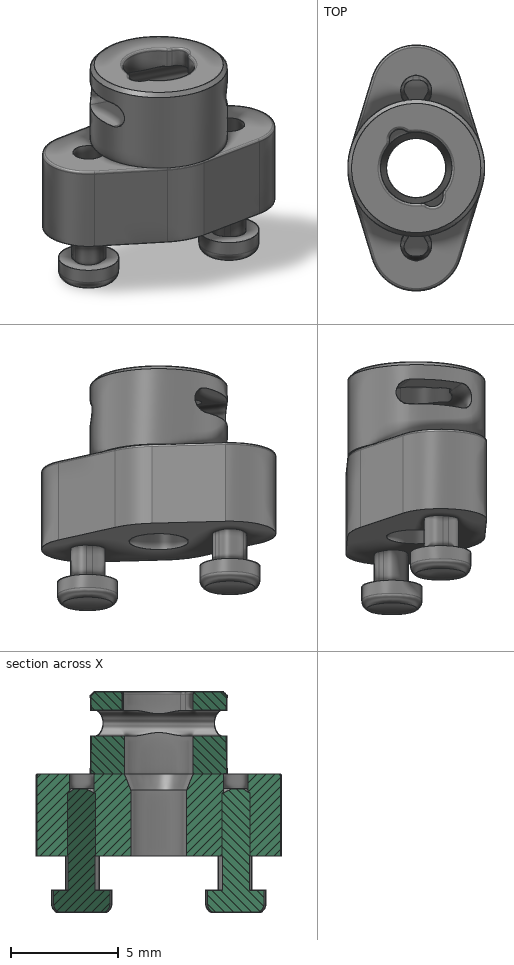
import cadquery as cq
import math

opposite_turns = (0, 180)

body_diameter = 6.35
body_radius = body_diameter / 2
end_radius = 2.13
base_length = 11.41
screw_offset = base_length / 2 - end_radius
base_height = 3.81
base_fillet = 0.11

barrel_height = base_height
barrel_top = base_height + barrel_height
barrel_chamfer = 0.18

socket_radius = 1.65
bore_radius = 1.37
taper_depth = 0.74

key_radius = 0.49
key_distance = 1.51
key_angle = 120
key_blend = 0.32
mouth_fillet = 0.11

slot_width = 3.7
slot_height = 1.18
slot_center_z = 6.16

head_diameter = 2.8
head_radius = head_diameter / 2
head_height = 1.03
head_top = -1.59
rim_depth = 0.4
rim_inset = 0.24
lobe_radius = 0.66
lobe_offset = 0.16
lobe_directions = (-90, 30, 150)
lobe_half_arc = 60
tip_chamfer = 0.24
tip_z = 3.13
pilot_radius = 0.72


def polar(radius, degrees):
    angle = math.radians(degrees)
    return (radius * math.cos(angle), radius * math.sin(angle))


def base_outline():
    """Closed outline of the flange: four arcs joined by tangent lines."""
    lean = math.degrees(math.asin((body_radius - end_radius) / screw_offset))
    body_x, body_y = polar(body_radius, lean)
    end_x, end_rise = polar(end_radius, lean)
    end_y = screw_offset + end_rise
    tip_y = base_length / 2
    return (
        cq.Workplane("XY")
        .moveTo(body_x, -body_y)
        .threePointArc((body_radius, 0), (body_x, body_y))
        .lineTo(end_x, end_y)
        .threePointArc((0, tip_y), (-end_x, end_y))
        .lineTo(-body_x, body_y)
        .threePointArc((-body_radius, 0), (-body_x, -body_y))
        .lineTo(-end_x, -end_y)
        .threePointArc((0, -tip_y), (end_x, -end_y))
        .close()
    )


def shank_outline(z):
    """Rounded triangle: three equal arcs joined by narrow flats, one flat facing +Y."""
    outline = cq.Workplane("XY", origin=(0, 0, z))
    for direction in lobe_directions:
        center_x, center_y = polar(lobe_offset, direction)
        arc = []
        for turn in (-lobe_half_arc, 0, lobe_half_arc):
            dx, dy = polar(lobe_radius, direction + turn)
            arc.append((center_x + dx, center_y + dy))
        start, middle, end = arc
        outline = outline.moveTo(*start) if direction == lobe_directions[0] else outline.lineTo(*start)
        outline = outline.threePointArc(middle, end)
    return outline.close()


def screw_head():
    """Revolved head with a rounded rim around its flat outer face."""
    head_bottom = head_top - head_height
    rim_top = head_bottom + rim_depth
    return (
        cq.Workplane("XZ")
        .moveTo(0, head_top)
        .lineTo(head_radius, head_top)
        .lineTo(head_radius, rim_top)
        .tangentArcPoint((head_radius - rim_inset, head_bottom), relative=False)
        .lineTo(0, head_bottom)
        .close()
        .revolve(360, (0, 0), (0, 1))
    )


def make_screw(turn):
    """Screw at the +Y end, then turned about the Z axis to its place."""
    shank = shank_outline(head_top).extrude(tip_z - head_top)
    shank = shank.faces(">Z").chamfer(tip_chamfer)
    screw = screw_head().union(shank).translate((0, screw_offset, 0))
    return screw.rotate((0, 0, 0), (0, 0, 1), turn)


def tapered_bore():
    """Hole of the base: narrow below, widening to the barrel bore at the top."""
    return (
        cq.Workplane("XZ")
        .moveTo(0, 0)
        .lineTo(bore_radius, 0)
        .lineTo(bore_radius, base_height - taper_depth)
        .lineTo(socket_radius, base_height)
        .lineTo(0, base_height)
        .close()
        .revolve(360, (0, 0), (0, 1))
    )


def make_base(screws):
    base = base_outline().extrude(base_height).faces(">Z").edges().fillet(base_fillet)
    base = base.cut(tapered_bore())
    pilots = cq.Workplane("XY").pushPoints([(0, screw_offset), (0, -screw_offset)])
    base = base.cut(pilots.circle(pilot_radius).extrude(base_height))
    for screw in screws:
        base = base.cut(screw)
    return base


def keyed_mouth():
    """Upper part of the barrel bore, with two key notches and rounded corners where they meet the bore."""
    depth = barrel_top - slot_center_z
    plane = cq.Workplane("XY", origin=(0, 0, slot_center_z))
    key_centers = [polar(key_distance, key_angle + turn) for turn in opposite_turns]
    keys = plane.pushPoints(key_centers).circle(key_radius).extrude(depth)
    bore = plane.transformed(rotate=(0, 0, key_angle)).circle(socket_radius).extrude(depth)
    return bore.union(keys).edges("|Z").fillet(key_blend)


def cross_slot():
    plane = cq.Workplane("XZ", origin=(0, 0, slot_center_z))
    return plane.slot2D(slot_width, slot_height).extrude(body_radius, both=True)


def make_barrel():
    foot = cq.Workplane("XY", origin=(0, 0, base_height))
    barrel = foot.circle(body_radius).extrude(barrel_height).faces(">Z").chamfer(barrel_chamfer)
    barrel = barrel.cut(keyed_mouth())
    mouth_edges = barrel.faces(">Z").val().innerWires()[0].Edges()
    barrel = barrel.newObject(mouth_edges).fillet(mouth_fillet)
    barrel = barrel.cut(foot.circle(socket_radius).extrude(slot_center_z - base_height))
    return barrel.cut(cross_slot())


screws = [make_screw(turn) for turn in opposite_turns]
base = make_base(screws)
barrel = make_barrel()

result = cq.Compound.makeCompound([base.val(), barrel.val(), *[screw.val() for screw in screws]])